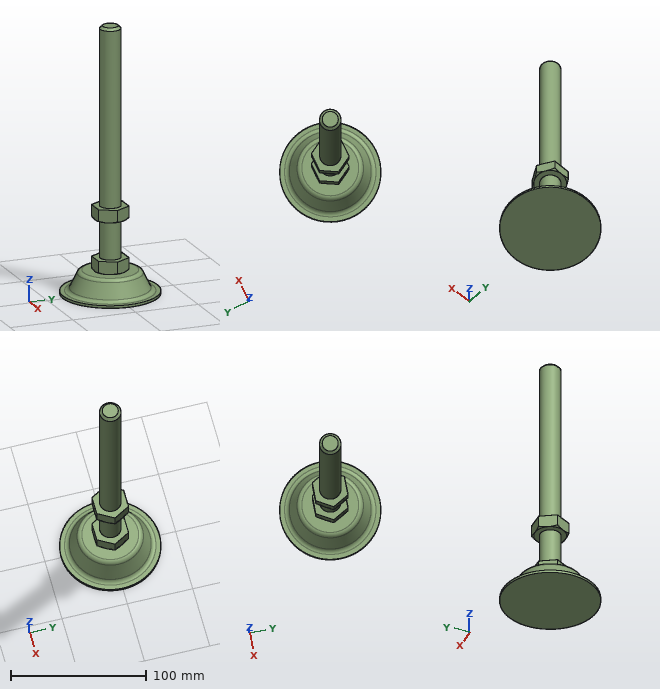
import cadquery as cq
import math

overall_height = 208.0
flange_diameter = 75.0
flange_thickness = 2.0
foot_height = 18.0
cone_top_radius = 23.5
cone_bottom_radius = 31.5
cone_fillet = 4.0

stem_diameter = 16.0
stem_chamfer = 2.0

nut_across_flats = 24.3
nut_thickness = 10.0
nut_spacing = 40.1
nut_chamfer_angle = 30.0
nut_count = 2


def make_foot():
    """Solid conical foot on a thin round flange, with rounded cone edges."""
    profile = (
        cq.Workplane("XZ")
        .lineTo(flange_diameter / 2, 0)
        .lineTo(flange_diameter / 2, flange_thickness)
        .lineTo(cone_bottom_radius, flange_thickness)
        .lineTo(cone_top_radius, foot_height)
        .lineTo(0, foot_height)
        .close()
    )
    foot = profile.revolve(360, (0, 0, 0), (0, 1, 0))
    cone_edges = foot.faces("%CONE").edges("%CIRCLE")
    return cone_edges.fillet(cone_fillet)


def make_stem():
    """Rod standing on the foot, chamfered at its upper end."""
    stem = (
        cq.Workplane("XY")
        .workplane(offset=foot_height)
        .circle(stem_diameter / 2)
        .extrude(overall_height - foot_height)
    )
    return stem.faces(">Z").chamfer(stem_chamfer)


def make_nut(bottom_z):
    """Hexagon nut with corners on the X axis and conically cut lower corners."""
    flat_radius = nut_across_flats / 2
    corner_radius = flat_radius / math.cos(math.radians(30))
    chamfer_height = (corner_radius - flat_radius) * math.tan(math.radians(nut_chamfer_angle))
    hexagon = cq.Workplane("XY").polygon(6, 2 * corner_radius).extrude(nut_thickness)
    chamfer_envelope = (
        cq.Workplane("XZ")
        .lineTo(flat_radius, 0)
        .lineTo(corner_radius, chamfer_height)
        .lineTo(corner_radius, nut_thickness)
        .lineTo(0, nut_thickness)
        .close()
        .revolve(360, (0, 0, 0), (0, 1, 0))
    )
    bore = cq.Workplane("XY").circle(stem_diameter / 2).extrude(nut_thickness)
    return hexagon.intersect(chamfer_envelope).cut(bore).translate((0, 0, bottom_z))


foot = make_foot()
stem = make_stem()
nuts = [make_nut(foot_height + i * nut_spacing) for i in range(nut_count)]

result = cq.Compound.makeCompound([foot.val(), stem.val(), *[nut.val() for nut in nuts]])